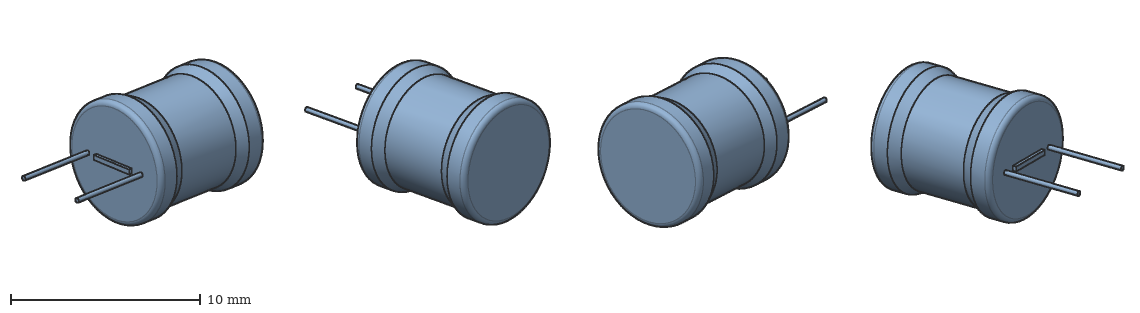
import cadquery as cq

total_length = 12.51
body_length = 7.77
body_radius = 3.5
waist_radius = 3.19
rim_width = 1.2
taper_length = 0.68
rim_fillet = 0.3

pin_diameter = 0.28
pin_spacing = 4.0
pin_length = total_length - body_length

bar_length = 2.66
bar_thickness = 0.29
bar_height = 0.21


def make_body():
    """Cylinder with a tapered waist between two rounded rims, revolved about Y."""
    far_rim = body_length - rim_width
    profile = (
        cq.Workplane("XY")
        .lineTo(body_radius, 0)
        .lineTo(body_radius, rim_width)
        .lineTo(waist_radius, rim_width + taper_length)
        .lineTo(waist_radius, far_rim - taper_length)
        .lineTo(body_radius, far_rim)
        .lineTo(body_radius, body_length)
        .lineTo(0, body_length)
        .close()
    )
    body = profile.revolve(360, (0, 0, 0), (0, 1, 0))
    return body.faces("<Y or >Y").edges().fillet(rim_fillet)


def make_pin(x):
    """Round lead standing on the end face and pointing toward -Y."""
    return cq.Workplane("XZ").center(x, 0).circle(pin_diameter / 2).extrude(pin_length)


def make_bar():
    """Flat rectangular bar on the end face, between the pins."""
    return cq.Workplane("XZ").rect(bar_length, bar_thickness).extrude(bar_height)


body = make_body()
pins = [make_pin(side * pin_spacing / 2) for side in (-1, 1)]
bar = make_bar()

result = cq.Compound.makeCompound([body.val(), *[pin.val() for pin in pins], bar.val()])